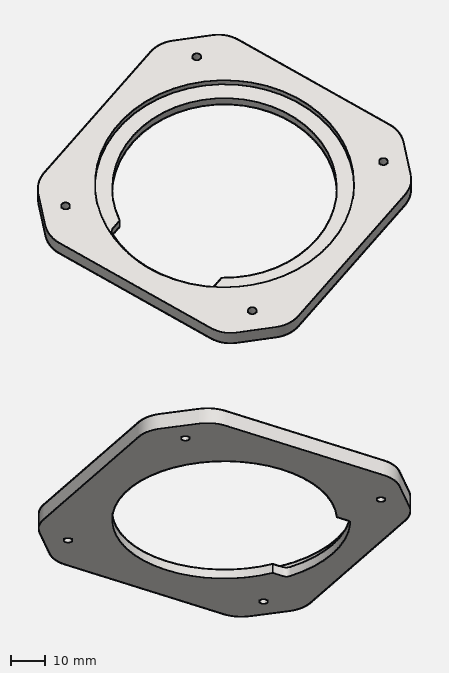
import cadquery as cq

side = 90.0
thickness = 5.0
corner_chamfer = 14.1
corner_radius = 10.0

recess_diameter = 75.0
recess_depth = 2.0
opening_diameter = 65.0

notch_width = 36.0
notch_radius = 36.45
notch_corner_radius = 2.0

hole_diameter = 2.5
hole_spacing = 66.0


def make_plate():
    """Square plate with chamfered corners whose ends are rounded."""
    plate = cq.Workplane("XY").box(side, side, thickness, centered=(True, True, False))
    plate = plate.edges("|Z").chamfer(corner_chamfer)
    return plate.edges("|Z").fillet(corner_radius)


def make_recess():
    """Shallow round seat sunk into the top face."""
    seat = cq.Workplane("XY").workplane(offset=thickness - recess_depth)
    return seat.circle(recess_diameter / 2).extrude(recess_depth)


def make_opening():
    """Round through opening."""
    return cq.Workplane("XY").circle(opening_diameter / 2).extrude(thickness)


def make_notch():
    """Straight-sided notch with an arc floor concentric with the opening."""
    strip = (
        cq.Workplane("XY")
        .center(0, -notch_radius / 2)
        .rect(notch_width, notch_radius)
        .extrude(thickness)
    )
    notch = strip.intersect(cq.Workplane("XY").circle(notch_radius).extrude(thickness))
    floor_corners = notch.edges("|Z").edges("<Y")
    return floor_corners.fillet(notch_corner_radius)


def make_mounting_holes():
    """Four through holes on a square pattern."""
    return (
        cq.Workplane("XY")
        .rect(hole_spacing, hole_spacing, forConstruction=True)
        .vertices()
        .circle(hole_diameter / 2)
        .extrude(thickness)
    )


result = (
    make_plate()
    .cut(make_recess())
    .cut(make_opening())
    .cut(make_notch())
    .cut(make_mounting_holes())
)